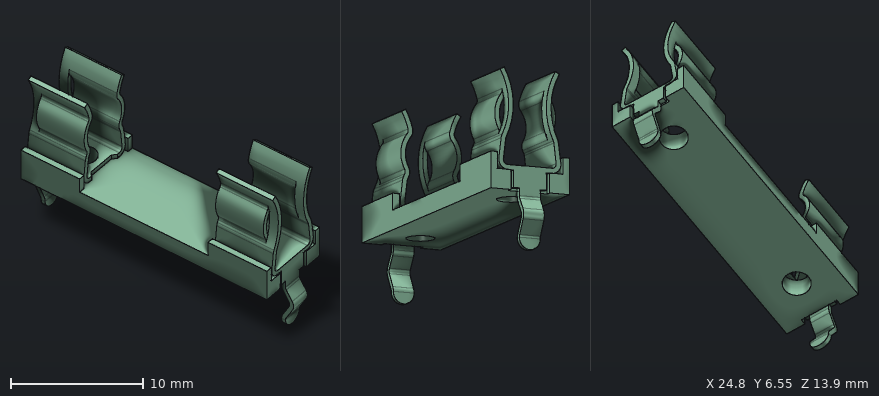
import cadquery as cq
import math


BASE_LENGTH = 23.42
BASE_WIDTH = 6.55
BASE_FLOOR = 1.55
WALL_TOP = 2.83
WALL_THICKNESS = 0.55
WALL_INNER_X = 6.1
TAB_SLOT_WIDTH = 3.23

SHEET = 0.4
CLIP_OUTER_X = 11.64
CLIP_INNER_X = 6.25
CLIP_FLOOR_TOP = BASE_FLOOR + SHEET
CLIP_FLOOR_MID = BASE_FLOOR + SHEET / 2
NOTCH_DEPTH = 0.32
NOTCH_HALF_WIDTH = 1.27
HOLE_X = 8.24
HOLE_DIAMETER = 2.18

CORNER_RADIUS = 0.55
CORNER_Y = 1.84
KNEE_RADIUS = 0.7
KNEE_LEAN = 26.0
ARM_RADIUS = 5.55
ARM_GAP = 2.73
ARM_WAIST_Z = 6.57
ARM_TOP = 9.43
ARM_CENTER = (ARM_GAP / 2 + SHEET / 2 + ARM_RADIUS, ARM_WAIST_Z)

SEAT_RADIUS = 2.33
SEAT_Z = 6.0
SEAT_BEND = 0.62
SEAT_OUTER_X = 10.8

TAB_WIDTH = 2.73
TAB_BOTTOM = 0.2
PIN_WIDTH = 1.74
PIN_BOTTOM = -4.5
PIN_OUTER_X = 12.4
PIN_BEND = 0.6
PIN_UPPER_BEND_Z = -0.4
PIN_APEX_Z = -1.9
PIN_LOWER_BEND_Z = -3.6
TAB_INNER_X = CLIP_OUTER_X - SHEET

TOUCHING = 2.48e-06


def box(x0, x1, y0, y1, z0, z1):
    """Box between two opposite corners."""
    return cq.Workplane("XY").box(x1 - x0, y1 - y0, z1 - z0, centered=False).translate((x0, y0, z0))


def polar(center, radius, angle):
    return (center[0] + radius * math.cos(angle), center[1] + radius * math.sin(angle))


def tangent_heading(bend_a, bend_b):
    """Heading of the straight that leaves bend_a and enters bend_b."""
    (ax, ay), radius_a = bend_a
    (bx, by), radius_b = bend_b
    ratio = (radius_a - radius_b) / math.hypot(bx - ax, by - ay)
    return math.atan2(by - ay, bx - ax) + math.asin(max(-1.0, min(1.0, ratio)))


def strip(plane, start, bends, end):
    """Closed outline of a bent sheet running from start to end.

    A bend is (center, radius), radius positive for a left turn and negative for a right turn.
    """
    stops = [(start, 0.0)] + bends + [(end, 0.0)]
    headings = [tangent_heading(a, b) for a, b in zip(stops, stops[1:])]

    def side_point(stop, heading, side):
        center, radius = stop
        return polar(center, radius + side * SHEET / 2, heading - math.pi / 2)

    def face_arcs(side):
        arcs = []
        for bend, heading_in, heading_out in zip(bends, headings, headings[1:]):
            half_turn = math.remainder(heading_out - heading_in, 2 * math.pi) / 2
            middle = heading_in + half_turn
            arcs.append([side_point(bend, h, side) for h in (heading_in, middle, heading_out)])
        return arcs

    right_face = face_arcs(1)
    left_face = [arc[::-1] for arc in face_arcs(-1)[::-1]]
    right_end = side_point(stops[-1], headings[-1], 1)
    left_end = side_point(stops[-1], headings[-1], -1)
    first = side_point(stops[0], headings[0], 1)
    last = side_point(stops[0], headings[0], -1)

    outline = cq.Workplane(plane).moveTo(*first)
    here = first
    for arcs, finish in ((right_face, right_end), ([[left_end]] + left_face, last)):
        for points in arcs + [[finish]]:
            if math.dist(here, points[0]) > TOUCHING:
                outline = outline.lineTo(*points[0])
            if len(points) > 1:
                outline = outline.threePointArc(*points[1:])
            here = points[-1]
    return outline.close()


def make_base():
    half_length = BASE_LENGTH / 2
    half_width = BASE_WIDTH / 2
    inner_y = half_width - WALL_THICKNESS
    base = box(-half_length, half_length, -half_width, half_width, 0, WALL_TOP)
    base = base.cut(box(-half_length, half_length, -inner_y, inner_y, BASE_FLOOR, WALL_TOP))
    base = base.cut(box(-WALL_INNER_X, WALL_INNER_X, -half_width, half_width, BASE_FLOOR, WALL_TOP))
    half_slot = TAB_SLOT_WIDTH / 2
    slot = box(TAB_INNER_X, half_length, -half_slot, half_slot, 0, BASE_FLOOR)
    return base.cut(slot).cut(slot.mirror("YZ"))


def seat_bend_center(side):
    """Center of the bend joining seat and arm curve, above (1) or below (-1) the fuse axis."""
    seat = (0.0, SEAT_Z)
    from_seat = SEAT_RADIUS + SEAT_BEND
    from_arm = ARM_RADIUS - SEAT_BEND
    span = math.dist(seat, ARM_CENTER)
    direction = math.atan2(ARM_CENTER[1] - seat[1], ARM_CENTER[0] - seat[0])
    swing = math.acos((from_seat**2 + span**2 - from_arm**2) / (2 * from_seat * span))
    return polar(seat, from_seat, direction + side * swing)


def make_arm():
    """Spring arm on the +Y side of the +X clip, with half of the clip floor."""
    knee_center = polar(ARM_CENTER, -(ARM_RADIUS + KNEE_RADIUS), math.radians(KNEE_LEAN))
    foot = [
        ((CORNER_Y, CLIP_FLOOR_MID + CORNER_RADIUS), CORNER_RADIUS),
        (knee_center, KNEE_RADIUS),
    ]
    arm_curve = (ARM_CENTER, -ARM_RADIUS)
    seat = [
        (seat_bend_center(-1), -SEAT_BEND),
        ((0.0, SEAT_Z), SEAT_RADIUS),
        (seat_bend_center(1), -SEAT_BEND),
    ]
    tip_lean = math.asin((ARM_TOP - ARM_WAIST_Z) / (ARM_RADIUS + SHEET / 2))
    tip = polar(ARM_CENTER, ARM_RADIUS, math.pi - tip_lean)
    start = (0.0, CLIP_FLOOR_MID)

    rim = strip("YZ", start, foot + [arm_curve], tip).extrude(CLIP_OUTER_X - SEAT_OUTER_X)
    seated = strip("YZ", start, foot + [arm_curve] + seat + [arm_curve], tip)
    seated = seated.extrude(SEAT_OUTER_X - CLIP_INNER_X)
    return rim.translate((SEAT_OUTER_X, 0, 0)).union(seated.translate((CLIP_INNER_X, 0, 0)))


def make_pin():
    """Kinked solder pin with a round tip, hanging from the tab at the end of the +X clip."""
    tab = box(TAB_INNER_X, CLIP_OUTER_X, -TAB_WIDTH / 2, TAB_WIDTH / 2, TAB_BOTTOM, CLIP_FLOOR_TOP)
    sheet_x = CLIP_OUTER_X - SHEET / 2
    bends = [
        ((sheet_x + PIN_BEND, PIN_UPPER_BEND_Z), PIN_BEND),
        ((PIN_OUTER_X - SHEET / 2 - PIN_BEND, PIN_APEX_Z), -PIN_BEND),
        ((sheet_x + PIN_BEND, PIN_LOWER_BEND_Z), PIN_BEND),
    ]
    pin = strip("XZ", (sheet_x, TAB_BOTTOM), bends, (sheet_x, PIN_BOTTOM))
    tip_radius = PIN_WIDTH / 2
    pin = pin.extrude(tip_radius, both=True)
    rounded = (
        cq.Workplane("YZ")
        .moveTo(-tip_radius, TAB_BOTTOM)
        .lineTo(-tip_radius, PIN_BOTTOM + tip_radius)
        .threePointArc((0, PIN_BOTTOM), (tip_radius, PIN_BOTTOM + tip_radius))
        .lineTo(tip_radius, TAB_BOTTOM)
        .close()
        .extrude(PIN_OUTER_X)
    )
    return tab.union(pin.intersect(rounded))


def make_clip():
    """Clip at the +X end of the base."""
    arm = make_arm()
    clip = arm.union(arm.mirror("XZ"))
    notch_mouth = NOTCH_HALF_WIDTH + NOTCH_DEPTH
    notch = (
        cq.Workplane("XY", origin=(0, 0, BASE_FLOOR))
        .polyline([
            (CLIP_INNER_X, -notch_mouth),
            (CLIP_INNER_X + NOTCH_DEPTH, -NOTCH_HALF_WIDTH),
            (CLIP_INNER_X + NOTCH_DEPTH, NOTCH_HALF_WIDTH),
            (CLIP_INNER_X, notch_mouth),
        ])
        .close()
        .extrude(SHEET)
    )
    return clip.cut(notch).union(make_pin())


clip = make_clip()
holes = (
    cq.Workplane("XY")
    .pushPoints([(-HOLE_X, 0), (HOLE_X, 0)])
    .circle(HOLE_DIAMETER / 2)
    .extrude(CLIP_FLOOR_TOP)
)
result = make_base().union(clip).union(clip.mirror("YZ")).cut(holes)